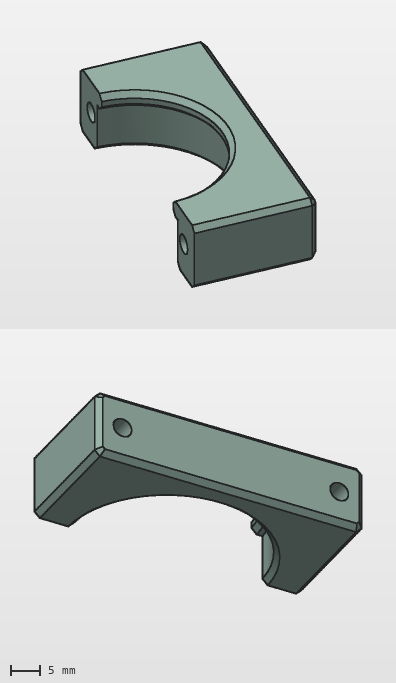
import cadquery as cq

width = 50.8
depth = 22.35
height = 12.7
edge_chamfer = 1.0

half_gap = 0.5
bore_radius = 18.0
lip_radius = 15.9
lip_thickness = 3.15
bore_chamfer = 1.0

screw_diameter = 3.45
screw_spacing = 41.25


def make_block():
    """Block from the sharp split face at Y = 0, chamfered along its length and then around its back."""
    block = cq.Workplane("XY").box(width, depth, height, centered=(True, False, False))
    return block.edges("|Y").chamfer(edge_chamfer).faces(">Y").edges().chamfer(edge_chamfer)


def make_bore():
    """Revolved cutter: wide bore below, narrow lip with chamfered edges above."""
    ledge_z = height - lip_thickness
    profile = [
        (0, 0),
        (bore_radius + bore_chamfer, 0),
        (bore_radius, bore_chamfer),
        (bore_radius, ledge_z),
        (lip_radius + bore_chamfer, ledge_z),
        (lip_radius, ledge_z + bore_chamfer),
        (lip_radius, height - bore_chamfer),
        (lip_radius + bore_chamfer, height),
        (0, height),
    ]
    cutter = cq.Workplane("XZ").polyline(profile).close().revolve(360, (0, 0), (0, 1))
    return cutter.translate((0, -half_gap, 0))


def make_screw_holes():
    """Pair of holes running along Y through the full depth, at mid height."""
    return (
        cq.Workplane("XZ", origin=(0, 0, height / 2))
        .rarray(screw_spacing, 0.5, 2, 1)
        .circle(screw_diameter / 2)
        .extrude(-depth)
    )


result = make_block().cut(make_bore()).cut(make_screw_holes())